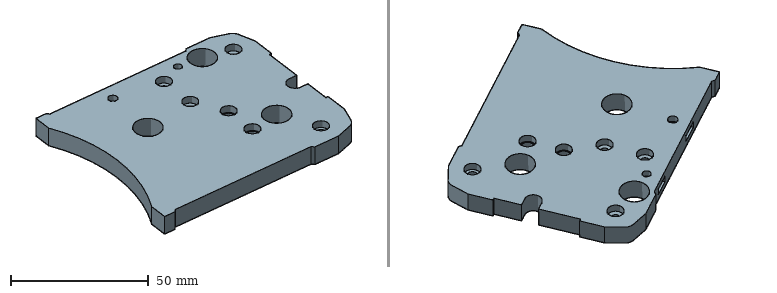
import cadquery as cq

width = 76.2
length = 92.0
thickness = 8.0
half_width = width / 2
half_length = length / 2

corner_reach = 11.8
corner_inset = corner_reach / 4
corner_radius = 4.05

recess_depth = 1.0
end_recess_width = 33.4
side_recess_top = 22.3
side_recess_bottom = -41.3

arc_chord = 60.9
arc_rise = 7.6

notch_x = 2.8
notch_width = 6.5
notch_depth = 7.7

large_hole_diameter = 11.0
large_holes = [(-30.2, 24.6), (13.8, 24.6), (-8.65, -17.3)]

counterbore_diameter = 6.2
counterbore_depth = 3.0
counterbored_holes = [
    (-27.2, 36.6, 2.6),
    (29.3, 32.9, 3.8),
    (-27.2, 4.6, 2.9),
    (-11.7, 4.6, 2.9),
    (1.4, 12.15, 5.15),
    (15.4, 12.15, 5.15),
]

screw_holes = [(-31.3, 14.2, 3.2, 7.4), (-30.55, -16.4, 3.7, 7.7)]
nut_slot_height = 2.7


def make_plate():
    """Extrude a rectangle with faceted, rounded corners and an arched -Y end."""
    facet_x = half_width - corner_reach
    facet_y = half_length - corner_reach
    corner_x = half_width - corner_inset
    corner_y = half_length - corner_inset
    plate = (
        cq.Workplane("XY")
        .moveTo(-half_width, -half_length)
        .lineTo(-arc_chord / 2, -half_length)
        .threePointArc((0, -half_length + arc_rise), (arc_chord / 2, -half_length))
        .lineTo(half_width, -half_length)
        .lineTo(half_width, facet_y)
        .lineTo(corner_x, corner_y)
        .lineTo(facet_x, half_length)
        .lineTo(-facet_x, half_length)
        .lineTo(-corner_x, corner_y)
        .lineTo(-half_width, facet_y)
        .close()
        .extrude(thickness)
    )
    for side in (-1, 1):
        corner = cq.selectors.NearestToPointSelector((side * corner_x, corner_y, thickness / 2))
        plate = plate.edges("|Z").edges(corner).fillet(corner_radius)
    return plate


def side_recess(side):
    """Recess along one long side, with 45 degree ends."""
    outer_x = side * half_width
    floor_x = side * (half_width - recess_depth)
    return (
        cq.Workplane("XY")
        .polyline([
            (outer_x, side_recess_bottom),
            (floor_x, side_recess_bottom + recess_depth),
            (floor_x, side_recess_top),
            (outer_x, side_recess_top + recess_depth),
        ])
        .close()
        .extrude(thickness)
    )


def end_recess():
    return (
        cq.Workplane("XY")
        .center(0, half_length - recess_depth / 2)
        .rect(end_recess_width, recess_depth)
        .extrude(thickness)
    )


def end_notch():
    radius = notch_width / 2
    straight = notch_depth - radius
    centre_y = half_length - straight
    channel = (
        cq.Workplane("XY")
        .center(notch_x, centre_y + straight / 2)
        .rect(notch_width, straight)
        .extrude(thickness)
    )
    return channel.union(round_hole(notch_x, centre_y, notch_width))


def round_hole(x, y, diameter, bottom=0.0):
    """Cylinder from the given height up to the top face."""
    return (
        cq.Workplane("XY", origin=(x, y, bottom))
        .circle(diameter / 2)
        .extrude(thickness - bottom)
    )


def nut_slot(x, y, slot_width):
    """Rectangular slot from the -X side, ending half a slot width past the screw axis."""
    slot_start = -half_width
    slot_length = x + slot_width / 2 - slot_start
    return cq.Workplane("XY").box(slot_length, slot_width, nut_slot_height).translate(
        (slot_start + slot_length / 2, y, thickness / 2)
    )


result = make_plate().cut(end_recess()).cut(end_notch())

for side in (-1, 1):
    result = result.cut(side_recess(side))

for x, y in large_holes:
    result = result.cut(round_hole(x, y, large_hole_diameter))

for x, y, diameter in counterbored_holes:
    result = result.cut(round_hole(x, y, diameter))
    result = result.cut(round_hole(x, y, counterbore_diameter, thickness - counterbore_depth))

for x, y, diameter, slot_width in screw_holes:
    result = result.cut(round_hole(x, y, diameter))
    result = result.cut(nut_slot(x, y, slot_width))